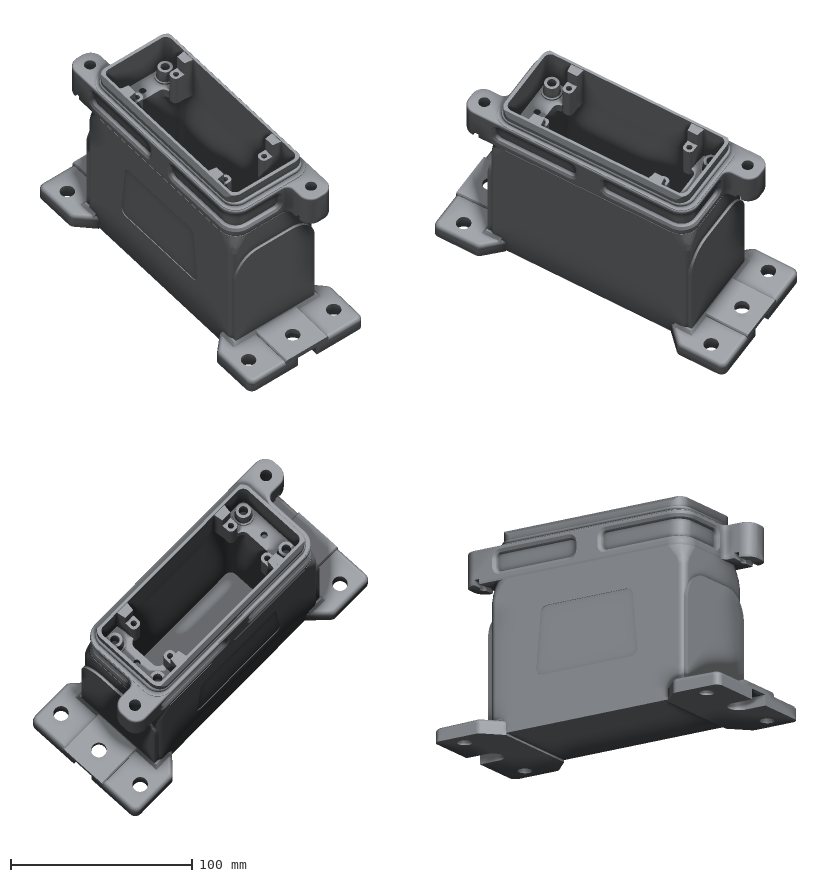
import cadquery as cq
import math

TOTAL_HEIGHT = 119.9
BODY_BOTTOM_Z = 1.2
FOOT_TOP_Z = 8.9
FOOT_TIP_Z = 8.2
STRIP_RISE = 1.3
SKIRT_TOP_Z = 10.4
FLOOR_Z = 5.0
INNER_STEP_Z = 90.0
COLLAR_BOTTOM_Z = 90.7
SHELF_Z = 95.5
COLLAR_TOP_Z = 110.9

BODY_HALF_X = 64.6
BODY_HALF_Y = 29.0
BODY_CORNER_R = 4.0
COLLAR_CORNER_R = 11.0
BLEND_BOTTOM_Z = 79.0
BLEND_MID_Z = 83.5
BLEND_MID_R = 5.5
COLLAR_EDGE_R = 1.1
COLLAR_FOOT_HEIGHT = 1.3
COLLAR_FOOT_INSET = 0.15

PAD_HALF_X = 66.2
PAD_HALF_Y = 27.8
PAD_TOP_Z = 75.0
PAD_ARCH_R = 16.0
PAD_ROOT_X = 55.0

RIM_HALF_X = 60.0
RIM_HALF_Y = 26.0
RIM_CORNER_R = 7.0
RIM_CHAMFER_Y = 1.8
RIM_CHAMFER_Z = 3.0
STEP_INSET = 0.7
STEP_HEIGHT = 0.4
BEAD_BOTTOM_Z = 111.7
BEAD_TOP_Z = 114.3
BEAD_OVERHANG_X = 1.8
BEAD_OVERHANG_Y = 0.7
BEAD_EDGE_R = 1.25

EAR_END_X = 82.3
EAR_INNER_Y = 10.3
EAR_CORNER_R = 7.5
EAR_ROOT_R = 4.0
EAR_HOLE_X = 73.3
EAR_HOLE_Y = 19.5
EAR_HOLE_D = 6.7
EAR_NOTCH_X = 73.0
EAR_NOTCH_WIDTH = 3.41
EAR_NOTCH_HEIGHT = 3.0

GRIP_BOTTOM_Z = 94.2
GRIP_TOP_Z = 108.8
GRIP_INNER_X = 7.0
GRIP_OUTER_X = 62.7
GRIP_END_Y = 6.8
GRIP_CORNER_R = 5.2
GRIP_RIM_WIDTH = 1.7
GRIP_RIM_DEPTH = 1.0
GRIP_WALL_WIDTH = 0.7
GRIP_WALL_DEPTH = 1.8

FOOT_HALF_X = 94.5
FOOT_HALF_Y = 40.0
FOOT_INNER_X = 53.6
FOOT_BEVEL_X = 64.6
FOOT_CORNER_R = 4.0
FOOT_EDGE_R = 2.4
STRIP_HALF_Y = 15.0
STRIP_EDGE_CHAMFER = 0.8
FOOT_HOLE_D = 8.5
OUTER_HOLE_X = 80.2
OUTER_HOLE_Y = 30.0
MIDDLE_HOLE_X = 81.6
FOOT_SLOT_WIDTH = 13.4
FOOT_SLOT_HEIGHT = 6.3

CHAMBER_HALF_X = 58.0
CHAMBER_HALF_Y = 22.6
CHAMBER_CORNER_R = 4.0
FLOOR_HALF_Y = 20.3
SHELF_EDGE_X = 45.5
SHELF_STEP_X = 42.0
SHELF_STEP_Y = 11.0

RIB_X = 39.0
RIB_TIP_HALF_WIDTH = 3.2
RIB_ROOT_HALF_WIDTH = 4.2
RIB_TIP_Y = 17.2
RIB_ROOT_Y = 23.6
RIB_TOP_Z = 119.3
PILLAR_TOP_Z = 110.0
PILLAR_TIP_Y = 10.5
PILLAR_CORNER_R = 2.6
PILLAR_HOLE_Y = 13.8
PILLAR_HOLE_D = 3.41
PILLAR_HOLE_DEPTH = 12.0
BOSS_X = 51.6
BOSS_Y = 16.2
BOSS_TOP_Z = 103.7
BOSS_BASE_D = 12.0
BOSS_BASE_HEIGHT = 1.0
BOSS_D = 10.0
BOSS_TOP_D = 8.5
BOSS_HOLE_D = 5.2
BOSS_HOLE_DEPTH = 10.0
SHELF_HOLE_X = 51.1
SHELF_HOLE_D = 4.0
SHELF_HOLE_DEPTH = 5.0

PANEL_BOTTOM_Z = 30.7
PANEL_TOP_Z = 70.5
PANEL_BOTTOM_HALF_X = 33.8
PANEL_TOP_HALF_X = 30.2
PANEL_CORNER_R = 4.0
PANEL_DEPTH = 0.4

STRIP_TOP_Z = FOOT_TOP_Z + STRIP_RISE

BOTH_SIDES = (-1, 1)
FOUR_CORNERS = [(sx, sy) for sx in BOTH_SIDES for sy in BOTH_SIDES]


def box(x0, x1, y0, y1, z0, z1):
    """Box between two opposite corners."""
    return cq.Workplane("XY").box(x1 - x0, y1 - y0, z1 - z0, centered=False).translate((x0, y0, z0))


def rounded_block(half_x, half_y, radius, z0, z1):
    """Centred block with rounded vertical edges."""
    return box(-half_x, half_x, -half_y, half_y, z0, z1).edges("|Z").fillet(radius)


def cylinder(x, y, diameter, z0, z1):
    return cq.Workplane("XY", origin=(x, y, z0)).circle(diameter / 2).extrude(z1 - z0)


def prism(points, z0, z1):
    """Vertical prism over a closed XY outline."""
    return cq.Workplane("XY", origin=(0, 0, z0)).polyline(points).close().extrude(z1 - z0)


def half_turn(shape):
    return shape.rotate((0, 0, 0), (0, 0, 1), 180)


def make_body():
    """Box body whose corner radius widens smoothly below the collar."""
    body = rounded_block(BODY_HALF_X, BODY_HALF_Y, BODY_CORNER_R, BODY_BOTTOM_Z, BLEND_BOTTOM_Z)
    stages = [
        (BLEND_BOTTOM_Z, BODY_CORNER_R),
        (BLEND_MID_Z, BLEND_MID_R),
        (COLLAR_BOTTOM_Z, COLLAR_CORNER_R),
    ]
    sections = []
    for z, radius in stages:
        section = cq.Sketch().rect(2 * BODY_HALF_X, 2 * BODY_HALF_Y).vertices().fillet(radius)
        sections.append(section.moved(cq.Location(cq.Vector(0, 0, z))))
    return body.union(cq.Workplane("XY").placeSketch(*sections).loft())


def make_end_pads():
    """Raised plate with an arched top, on both end walls."""
    outline = cq.Workplane("YZ", origin=(-PAD_HALF_X, 0, 0)).center(0, PAD_TOP_Z / 2)
    pads = outline.rect(2 * PAD_HALF_Y, PAD_TOP_Z).extrude(2 * PAD_HALF_X)
    pads = pads.edges("|X and >Z").fillet(PAD_ARCH_R)
    foot_clearance = box(-PAD_HALF_X, PAD_HALF_X, -PAD_HALF_Y, PAD_HALF_Y, 0, BODY_BOTTOM_Z)
    middle = box(-PAD_ROOT_X, PAD_ROOT_X, -PAD_HALF_Y, PAD_HALF_Y, 0, PAD_TOP_Z)
    return pads.cut(foot_clearance).cut(middle)


def make_ear():
    """Ear at the +X, +Y corner with its outer corners rounded."""
    ear = box(0, EAR_END_X, EAR_INNER_Y, BODY_HALF_Y, COLLAR_BOTTOM_Z, COLLAR_TOP_Z)
    return ear.edges("|Z and >X").fillet(EAR_CORNER_R)


def make_collar():
    """Collar with two diagonally opposite ears."""
    collar = rounded_block(BODY_HALF_X, BODY_HALF_Y, COLLAR_CORNER_R, COLLAR_BOTTOM_Z, COLLAR_TOP_Z)
    ear = make_ear()
    collar = collar.union(ear).union(half_turn(ear)).clean()
    for side in BOTH_SIDES:
        root = (side * BODY_HALF_X, side * EAR_INNER_Y, (COLLAR_BOTTOM_Z + COLLAR_TOP_Z) / 2)
        collar = collar.edges(cq.selectors.NearestToPointSelector(root)).fillet(EAR_ROOT_R)
    collar = collar.faces(">Z").edges().fillet(COLLAR_EDGE_R)
    collar = collar.faces("<Z").edges().chamfer(COLLAR_FOOT_HEIGHT, COLLAR_FOOT_INSET)
    for side in BOTH_SIDES:
        notch_x = side * EAR_NOTCH_X
        half_width = EAR_NOTCH_WIDTH / 2
        collar = collar.cut(cylinder(side * EAR_HOLE_X, side * EAR_HOLE_Y, EAR_HOLE_D,
                                     COLLAR_BOTTOM_Z, COLLAR_TOP_Z))
        collar = collar.cut(box(notch_x - half_width, notch_x + half_width, -BODY_HALF_Y, BODY_HALF_Y,
                                COLLAR_BOTTOM_Z, COLLAR_BOTTOM_Z + EAR_NOTCH_HEIGHT))
    return collar


def make_grip(length):
    """Cutter in the -Y face, starting at X = 0, with a wide sloped rim above a steep wall."""
    height = GRIP_TOP_Z - GRIP_BOTTOM_Z
    centre_x = length / 2
    centre_z = (GRIP_TOP_Z + GRIP_BOTTOM_Z) / 2
    stages = [
        (0, 0, GRIP_RIM_WIDTH, GRIP_RIM_DEPTH),
        (GRIP_RIM_WIDTH, GRIP_RIM_DEPTH, GRIP_WALL_WIDTH, GRIP_WALL_DEPTH),
    ]
    cutter = cq.Workplane("XY")
    for inset, start, width, depth in stages:
        outline = cq.Sketch().rect(length - 2 * inset, height - 2 * inset)
        outline = outline.vertices().fillet(GRIP_CORNER_R - inset)
        origin = (centre_x, -BODY_HALF_Y + start, centre_z)
        plane = cq.Plane(origin=origin, xDir=(1, 0, 0), normal=(0, 1, 0))
        taper = math.degrees(math.atan2(width, depth))
        cutter = cutter.union(cq.Workplane(plane).placeSketch(outline).extrude(depth, taper=taper))
    return cutter


def make_open_grip(length):
    """Grip cutter with only its starting end rounded; the other end is cut off square."""
    spare = 3 * GRIP_CORNER_R
    keep = box(0, length, -BODY_HALF_Y, 0, GRIP_BOTTOM_Z, GRIP_TOP_Z)
    return make_grip(length + spare).intersect(keep)


def make_wrapped_grip():
    """Cutter for the grip that runs around the +X, -Y corner of the collar."""
    corner_x = BODY_HALF_X - COLLAR_CORNER_R
    corner_y = BODY_HALF_Y - COLLAR_CORNER_R
    front = make_open_grip(corner_x - GRIP_INNER_X).translate((GRIP_INNER_X, 0, 0))
    side = make_open_grip(corner_y + GRIP_END_Y).mirror("YZ").rotate((0, 0, 0), (0, 0, 1), 90)
    side = side.translate((BODY_HALF_X - BODY_HALF_Y, GRIP_END_Y, 0))

    rim_radius = COLLAR_CORNER_R - GRIP_RIM_DEPTH
    floor_radius = rim_radius - GRIP_WALL_DEPTH
    floor_inset = GRIP_RIM_WIDTH + GRIP_WALL_WIDTH
    bend = cq.Workplane("XZ").polyline([
        (COLLAR_CORNER_R, GRIP_BOTTOM_Z),
        (rim_radius, GRIP_BOTTOM_Z + GRIP_RIM_WIDTH),
        (floor_radius, GRIP_BOTTOM_Z + floor_inset),
        (floor_radius, GRIP_TOP_Z - floor_inset),
        (rim_radius, GRIP_TOP_Z - GRIP_RIM_WIDTH),
        (COLLAR_CORNER_R, GRIP_TOP_Z),
    ]).close().revolve(90, (0, 0), (0, 1))
    bend = bend.rotate((0, 0, 0), (0, 0, 1), -90).translate((corner_x, -corner_y, 0))
    return front.union(side).union(bend)


def make_rim():
    """Stepped rim with a sealing bead and sloped long edges."""
    step_top_z = COLLAR_TOP_Z + STEP_HEIGHT
    step = rounded_block(BODY_HALF_X - STEP_INSET, BODY_HALF_Y - STEP_INSET,
                         COLLAR_CORNER_R - STEP_INSET, COLLAR_TOP_Z, step_top_z)
    rim = rounded_block(RIM_HALF_X, RIM_HALF_Y, RIM_CORNER_R, COLLAR_TOP_Z, TOTAL_HEIGHT)
    slope_start_z = TOTAL_HEIGHT - RIM_CHAMFER_Z
    for side in BOTH_SIDES:
        slope = cq.Workplane("YZ", origin=(-RIM_HALF_X, 0, 0)).polyline([
            (side * RIM_HALF_Y, slope_start_z),
            (side * RIM_HALF_Y, TOTAL_HEIGHT),
            (side * (RIM_HALF_Y - RIM_CHAMFER_Y), TOTAL_HEIGHT),
        ]).close().extrude(2 * RIM_HALF_X)
        rim = rim.cut(slope)
    bead = rounded_block(RIM_HALF_X + BEAD_OVERHANG_X, RIM_HALF_Y + BEAD_OVERHANG_Y,
                         RIM_CORNER_R + BEAD_OVERHANG_X, BEAD_BOTTOM_Z, BEAD_TOP_Z)
    bead = bead.faces("<Z or >Z").edges().fillet(BEAD_EDGE_R)
    return step.union(rim).union(bead)


def make_foot_wedge(half_y, rise):
    """Wedge under the top of the -X foot, which falls away slightly toward the tip."""
    return cq.Workplane("XZ", origin=(0, half_y, 0)).polyline([
        (-FOOT_HALF_X, 0),
        (-FOOT_HALF_X, FOOT_TIP_Z + rise),
        (-FOOT_INNER_X, FOOT_TOP_Z + rise),
        (-FOOT_INNER_X, 0),
    ]).close().extrude(2 * half_y)


def make_foot():
    """Foot on the -X side: bevelled plate, raised middle strip, three holes and a slot below."""
    bevel_run = FOOT_BEVEL_X - FOOT_INNER_X
    inner_y = FOOT_HALF_Y - bevel_run
    plan = prism([
        (-FOOT_HALF_X, -FOOT_HALF_Y),
        (-FOOT_BEVEL_X, -FOOT_HALF_Y),
        (-FOOT_INNER_X, -inner_y),
        (-FOOT_INNER_X, inner_y),
        (-FOOT_BEVEL_X, FOOT_HALF_Y),
        (-FOOT_HALF_X, FOOT_HALF_Y),
    ], 0, STRIP_TOP_Z)
    plan = plan.edges("|Z and (<Y or >Y)").fillet(FOOT_CORNER_R)
    foot = plan.intersect(make_foot_wedge(FOOT_HALF_Y, 0))
    foot = foot.faces(">Z").edges("not >X").fillet(FOOT_EDGE_R)

    strip = make_foot_wedge(STRIP_HALF_Y, STRIP_RISE)
    strip = strip.faces(">Z").edges("<Y or >Y").chamfer(STRIP_EDGE_CHAMFER)
    foot = foot.union(strip)

    holes = [(-OUTER_HOLE_X, -OUTER_HOLE_Y), (-OUTER_HOLE_X, OUTER_HOLE_Y), (-MIDDLE_HOLE_X, 0)]
    for x, y in holes:
        foot = foot.cut(cylinder(x, y, FOOT_HOLE_D, 0, STRIP_TOP_Z))
    half_slot = FOOT_SLOT_WIDTH / 2
    foot = foot.cut(box(-FOOT_HALF_X, -MIDDLE_HOLE_X, -half_slot, half_slot, 0, FOOT_SLOT_HEIGHT))
    return foot.cut(cylinder(-MIDDLE_HOLE_X, 0, FOOT_SLOT_WIDTH, 0, FOOT_SLOT_HEIGHT))


def make_skirt():
    """Sloped seam between the end pads and the feet, sunk into the sloping foot tops."""
    rise = SKIRT_TOP_Z - FOOT_TIP_Z
    skirt = cq.Workplane("XY", origin=(0, 0, FOOT_TIP_Z))
    skirt = skirt.rect(2 * (PAD_HALF_X + rise), 2 * (BODY_HALF_Y + rise)).extrude(rise, taper=45)
    middle_x = FOOT_INNER_X + FOOT_EDGE_R
    return skirt.cut(box(-middle_x, middle_x, -FOOT_HALF_Y, FOOT_HALF_Y, FOOT_TIP_Z, SKIRT_TOP_Z))


def make_cavity():
    """Upper chamber, shelf opening and the drafted well below it."""
    chamber = rounded_block(CHAMBER_HALF_X, CHAMBER_HALF_Y, CHAMBER_CORNER_R, SHELF_Z, TOTAL_HEIGHT)
    opening = box(-SHELF_STEP_X, SHELF_STEP_X, -CHAMBER_HALF_Y, CHAMBER_HALF_Y, INNER_STEP_Z, SHELF_Z)
    opening = opening.union(rounded_block(SHELF_EDGE_X, SHELF_STEP_Y, CHAMBER_CORNER_R,
                                          INNER_STEP_Z, SHELF_Z))
    well = cq.Workplane("YZ", origin=(-SHELF_EDGE_X, 0, 0)).polyline([
        (-CHAMBER_HALF_Y, INNER_STEP_Z),
        (CHAMBER_HALF_Y, INNER_STEP_Z),
        (FLOOR_HALF_Y, FLOOR_Z),
        (-FLOOR_HALF_Y, FLOOR_Z),
    ]).close().extrude(2 * SHELF_EDGE_X)
    well = well.faces("<X or >X").edges("not |Y").fillet(CHAMBER_CORNER_R)
    return chamber.union(opening).union(well)


def make_rib_and_pillar():
    """Wall rib with a lower screw pillar in front of it, for the +X, +Y quadrant."""
    rib = prism([
        (RIB_X - RIB_TIP_HALF_WIDTH, RIB_TIP_Y),
        (RIB_X + RIB_TIP_HALF_WIDTH, RIB_TIP_Y),
        (RIB_X + RIB_ROOT_HALF_WIDTH, RIB_ROOT_Y),
        (RIB_X - RIB_ROOT_HALF_WIDTH, RIB_ROOT_Y),
    ], INNER_STEP_Z, RIB_TOP_Z)
    pillar = box(RIB_X - RIB_TIP_HALF_WIDTH, RIB_X + RIB_TIP_HALF_WIDTH, PILLAR_TIP_Y, RIB_TIP_Y,
                 INNER_STEP_Z, PILLAR_TOP_Z)
    pillar = pillar.edges("|Z and <Y").fillet(PILLAR_CORNER_R)
    hole = cylinder(RIB_X, PILLAR_HOLE_Y, PILLAR_HOLE_D, PILLAR_TOP_Z - PILLAR_HOLE_DEPTH, PILLAR_TOP_Z)
    return rib.union(pillar).cut(hole)


def make_boss_and_hole(x, y):
    """Conical screw boss on the shelf, and its blind hole with a drill point."""
    profile = [
        (0, SHELF_Z),
        (BOSS_BASE_D / 2, SHELF_Z),
        (BOSS_BASE_D / 2, SHELF_Z + BOSS_BASE_HEIGHT),
        (BOSS_D / 2, SHELF_Z + BOSS_BASE_HEIGHT),
        (BOSS_TOP_D / 2, BOSS_TOP_Z),
        (0, BOSS_TOP_Z),
    ]
    hole_radius = BOSS_HOLE_D / 2
    hole_profile = [
        (0, BOSS_TOP_Z),
        (hole_radius, BOSS_TOP_Z),
        (hole_radius, BOSS_TOP_Z - BOSS_HOLE_DEPTH),
        (0, BOSS_TOP_Z - BOSS_HOLE_DEPTH - hole_radius),
    ]
    boss = cq.Workplane("XZ").polyline(profile).close().revolve(360, (0, 0), (0, 1))
    hole = cq.Workplane("XZ").polyline(hole_profile).close().revolve(360, (0, 0), (0, 1))
    return boss.translate((x, y, 0)), hole.translate((x, y, 0))


def make_panel():
    """Cutter for the shallow trapezoidal panel."""
    panel = cq.Workplane("XZ", origin=(0, -BODY_HALF_Y + PANEL_DEPTH, 0)).polyline([
        (-PANEL_BOTTOM_HALF_X, PANEL_BOTTOM_Z),
        (PANEL_BOTTOM_HALF_X, PANEL_BOTTOM_Z),
        (PANEL_TOP_HALF_X, PANEL_TOP_Z),
        (-PANEL_TOP_HALF_X, PANEL_TOP_Z),
    ]).close().extrude(PANEL_DEPTH)
    return panel.edges("|Y").fillet(PANEL_CORNER_R)


housing = make_body().union(make_end_pads()).union(make_collar()).union(make_rim())
foot = make_foot()
housing = housing.union(foot).union(half_turn(foot)).union(make_skirt())

straight_grip = make_grip(GRIP_OUTER_X - GRIP_INNER_X).translate((-GRIP_OUTER_X, 0, 0))
for grip in (straight_grip, make_wrapped_grip()):
    housing = housing.cut(grip).cut(half_turn(grip))
housing = housing.cut(make_panel())

housing = housing.cut(make_cavity())
rib_and_pillar = make_rib_and_pillar()
for side_x, side_y in FOUR_CORNERS:
    placed = rib_and_pillar
    if side_x < 0:
        placed = placed.mirror("YZ")
    if side_y < 0:
        placed = placed.mirror("XZ")
    housing = housing.union(placed)
    boss, boss_hole = make_boss_and_hole(side_x * BOSS_X, side_y * BOSS_Y)
    housing = housing.union(boss).cut(boss_hole)
for side_x in BOTH_SIDES:
    hole_bottom_z = SHELF_Z - SHELF_HOLE_DEPTH
    housing = housing.cut(cylinder(side_x * SHELF_HOLE_X, 0, SHELF_HOLE_D, hole_bottom_z, SHELF_Z))

result = housing